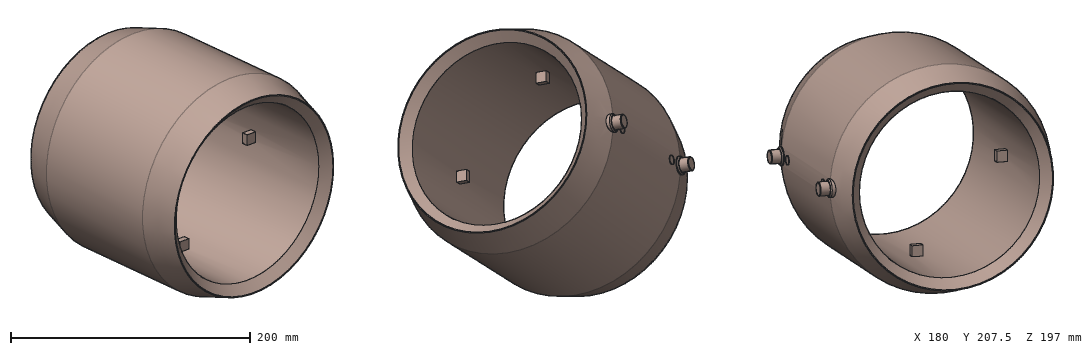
import cadquery as cq

length = 180.0
barrel_length = 120.4
outer_diameter = 197.0
rim_diameter = 178.9
mouth_diameter = 177.0
bore_diameter = 160.0
mouth_depth = 8.0

overall_depth = 207.5
terminal_diameter = 12.0
terminal_chamfer = 0.6
flange_diameter = 16.0
flange_height = 1.9
flange_chamfer = 1.0
terminal_spacing = barrel_length
root_depth = 5.2

indicator_diameter = 8.0
indicator_height = 0.6
indicator_spacing = 88.4

stop_count = 4
stop_length = 5.5
stop_width = 9.8
stop_reach = 9.5
stop_embed = 2.0

outer_radius = outer_diameter / 2
bore_radius = bore_diameter / 2
terminal_top = overall_depth - outer_radius


def make_sleeve():
    """Tapered-end tube with a conical lead-in at each mouth."""
    end = length / 2
    shoulder = barrel_length / 2
    bore_end = end - mouth_depth
    profile = [
        (-end, mouth_diameter / 2),
        (-end, rim_diameter / 2),
        (-shoulder, outer_radius),
        (shoulder, outer_radius),
        (end, rim_diameter / 2),
        (end, mouth_diameter / 2),
        (bore_end, bore_radius),
        (-bore_end, bore_radius),
    ]
    return cq.Workplane("XY").polyline(profile).close().revolve(360, (0, 0, 0), (1, 0, 0))


def make_post(x, diameter, top):
    """Round post along Y, rooted in the sleeve wall."""
    base = outer_radius - root_depth
    post = cq.Workplane("XZ", origin=(x, base, 0)).circle(diameter / 2)
    return post.extrude(base - top)


def make_terminal(x):
    flange = make_post(x, flange_diameter, outer_radius + flange_height)
    flange = flange.faces(">Y").chamfer(flange_chamfer)
    pin = make_post(x, terminal_diameter, terminal_top)
    pin = pin.faces(">Y").chamfer(terminal_chamfer)
    return flange.union(pin)


def make_stop(angle):
    """Block on the bore wall at mid-length, turned about X."""
    height = stop_reach + stop_embed
    middle = bore_radius + stop_embed - height / 2
    block = cq.Workplane("XY").box(stop_length, stop_width, height).translate((0, 0, middle))
    return block.rotate((0, 0, 0), (1, 0, 0), angle)


result = make_sleeve()
for side in (-1, 1):
    result = result.union(make_terminal(side * terminal_spacing / 2))
    indicator_x = side * indicator_spacing / 2
    result = result.union(make_post(indicator_x, indicator_diameter, outer_radius + indicator_height))
for index in range(stop_count):
    result = result.union(make_stop(index * 360 / stop_count))